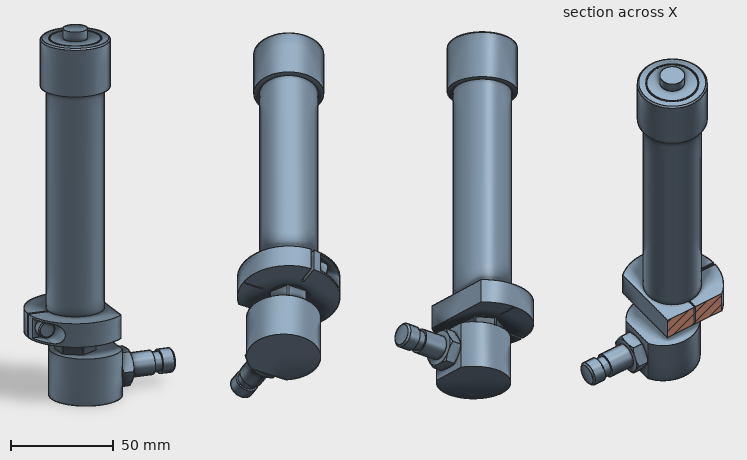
import cadquery as cq

TOTAL_HEIGHT = 188.3
BASE_HEIGHT = 24.1
CLAMP_BOTTOM = 33.1
CLAMP_HEIGHT = 12.0
CLAMP_MIDDLE = CLAMP_BOTTOM + CLAMP_HEIGHT / 2
CAP_BOTTOM = 158.7
CAP_TOP = 183.4

BASE_DIAMETER = 36.2
BASE_OFFSET = 5.5
BASE_FLAT_Y = 20.9

NECK_ACROSS_FLATS = 18.0
NECK_CORNER_DIAMETER = 20.3
WASHER_THICKNESS = 0.5

CLAMP_DIAMETER = 49.9
CLAMP_FLAT_Y = 16.2
CLAMP_GAP = 1.5
HINGE_SLIT_WIDTH = 0.5
HINGE_WALL = 1.1

SCREW_Y = -18.8
SHANK_DIAMETER = 5.0
SHANK_START_X = -7.5
HEAD_DIAMETER = 8.5
HEAD_LENGTH = 5.0
HEAD_CHAMFER = 0.5
POCKET_DIAMETER = 10.0
POCKET_FLOOR_X = 4.7

TUBE_DIAMETER = 28.5
CAP_DIAMETER = 34.0
CAP_CHAMFER = 0.8
CAP_GROOVE_OUTER = 25.8
CAP_GROOVE_INNER = 24.9
CAP_GROOVE_DEPTH = 0.5
PIN_DIAMETER = 12.0

FITTING_Z = BASE_HEIGHT / 2
FITTING_DIAMETER = 12.0
FITTING_GROOVE_DIAMETER = 10.0
FITTING_NUT_ACROSS_FLATS = 17.3
FITTING_NUT_CORNER_DIAMETER = 20.1
FITTING_NUT_BEVEL_LENGTH = 0.8
FITTING_NUT_BEVEL_DEPTH = 1.3
FITTING_NUT_END = 27.3
FITTING_GROOVE_START = 39.7
FITTING_GROOVE_END = 43.9
FITTING_LENGTH = 29.8
FITTING_END = BASE_FLAT_Y + FITTING_LENGTH
FITTING_CHAMFER = 1.0


def upright_cylinder(diameter, bottom, top):
    """Cylinder on the main axis between two heights."""
    return cq.Workplane("XY").workplane(offset=bottom).circle(diameter / 2).extrude(top - bottom)


def cylinder_along_x(diameter, start, end):
    """Cylinder on the clamp screw axis between two X positions."""
    plane = cq.Plane(origin=(start, SCREW_Y, CLAMP_MIDDLE), xDir=(0, 1, 0), normal=(1, 0, 0))
    return cq.Workplane(plane).circle(diameter / 2).extrude(end - start)


def fitting_plane(y):
    """Workplane across the side fitting at the given Y."""
    return cq.Workplane(cq.Plane(origin=(0, y, FITTING_Z), xDir=(1, 0, 0), normal=(0, 1, 0)))


def cylinder_along_y(diameter, start, end):
    """Cylinder on the side fitting axis between two Y positions."""
    return fitting_plane(start).circle(diameter / 2).extrude(end - start)


def box_between(x_range, y_range, z_range):
    """Box spanning the given ranges."""
    lows, highs = zip(x_range, y_range, z_range)
    sizes = [high - low for low, high in zip(lows, highs)]
    return cq.Workplane("XY").box(*sizes, centered=False).translate(lows)


def trim_behind(body, flat_y, top):
    """Cut away everything beyond a flat that faces +Y."""
    reach = CLAMP_DIAMETER
    return body.cut(box_between((-reach, reach), (flat_y, flat_y + reach), (0, top)))


def make_base():
    block = upright_cylinder(BASE_DIAMETER, 0, BASE_HEIGHT).translate((0, BASE_OFFSET, 0))
    return trim_behind(block, BASE_FLAT_Y, BASE_HEIGHT)


def make_neck():
    """Hexagon with its corners turned down, topped by a thin washer."""
    hexagon = (
        cq.Workplane("XY")
        .workplane(offset=BASE_HEIGHT)
        .polygon(6, NECK_ACROSS_FLATS, circumscribed=True)
        .extrude(CLAMP_BOTTOM - BASE_HEIGHT)
        .rotate((0, 0, 0), (0, 0, 1), 30)
    )
    neck = hexagon.intersect(upright_cylinder(NECK_CORNER_DIAMETER, BASE_HEIGHT, CLAMP_BOTTOM))
    return neck.union(
        upright_cylinder(NECK_CORNER_DIAMETER, CLAMP_BOTTOM - WASHER_THICKNESS, CLAMP_BOTTOM)
    )


def make_clamp():
    """Split ring with a flat back, a hinge slit and a sunk clamp screw."""
    radius = CLAMP_DIAMETER / 2
    top = CLAMP_BOTTOM + CLAMP_HEIGHT
    heights = (CLAMP_BOTTOM, top)
    ring = trim_behind(upright_cylinder(CLAMP_DIAMETER, *heights), CLAMP_FLAT_Y, top)
    gap = box_between((-CLAMP_GAP / 2, CLAMP_GAP / 2), (-radius, 0), heights)
    hinge_slit = box_between(
        (HINGE_WALL - radius, 0), (-HINGE_SLIT_WIDTH / 2, HINGE_SLIT_WIDTH / 2), heights
    )
    pocket = cylinder_along_x(POCKET_DIAMETER, POCKET_FLOOR_X, radius)
    pocket_mouth = box_between(
        (POCKET_FLOOR_X, radius),
        (-radius, SCREW_Y),
        (CLAMP_MIDDLE - POCKET_DIAMETER / 2, CLAMP_MIDDLE + POCKET_DIAMETER / 2),
    )
    shank = cylinder_along_x(SHANK_DIAMETER, SHANK_START_X, POCKET_FLOOR_X)
    head = cylinder_along_x(HEAD_DIAMETER, POCKET_FLOOR_X, POCKET_FLOOR_X + HEAD_LENGTH)
    head = head.faces(">X").chamfer(HEAD_CHAMFER)
    return ring.cut(gap).cut(hinge_slit).cut(pocket).cut(pocket_mouth).union(shank).union(head)


def make_cap():
    """Cap with a chamfered rim, a fine ring groove and a centre pin."""
    cap = upright_cylinder(CAP_DIAMETER, CAP_BOTTOM, CAP_TOP).faces(">Z").edges().chamfer(CAP_CHAMFER)
    groove_bottom = CAP_TOP - CAP_GROOVE_DEPTH
    groove = upright_cylinder(CAP_GROOVE_OUTER, groove_bottom, CAP_TOP).cut(
        upright_cylinder(CAP_GROOVE_INNER, groove_bottom, CAP_TOP)
    )
    return cap.cut(groove).union(upright_cylinder(PIN_DIAMETER, CAP_TOP, TOTAL_HEIGHT))


def make_fitting():
    """Hexagon nut with bevelled corners and a grooved plug nipple."""
    nut = (
        fitting_plane(BASE_FLAT_Y)
        .polygon(6, FITTING_NUT_ACROSS_FLATS, circumscribed=True)
        .extrude(FITTING_NUT_END - BASE_FLAT_Y)
        .rotate((0, 0, FITTING_Z), (0, 1, FITTING_Z), 30)
    )
    nut_envelope = (
        cylinder_along_y(FITTING_NUT_CORNER_DIAMETER, BASE_FLAT_Y, FITTING_NUT_END)
        .faces("<Y or >Y")
        .edges()
        .chamfer(FITTING_NUT_BEVEL_LENGTH, FITTING_NUT_BEVEL_DEPTH)
    )
    nut = nut.intersect(nut_envelope)
    shank = cylinder_along_y(FITTING_DIAMETER, FITTING_NUT_END, FITTING_GROOVE_START)
    groove_core = cylinder_along_y(FITTING_GROOVE_DIAMETER, FITTING_GROOVE_START, FITTING_GROOVE_END)
    tip = cylinder_along_y(FITTING_DIAMETER, FITTING_GROOVE_END, FITTING_END)
    tip = tip.faces(">Y").chamfer(FITTING_CHAMFER)
    return nut.union(shank).union(groove_core).union(tip)


tube = upright_cylinder(TUBE_DIAMETER, CLAMP_BOTTOM, CAP_BOTTOM)

result = make_base()
for component in (make_neck(), make_clamp(), tube, make_cap(), make_fitting()):
    result = result.union(component)